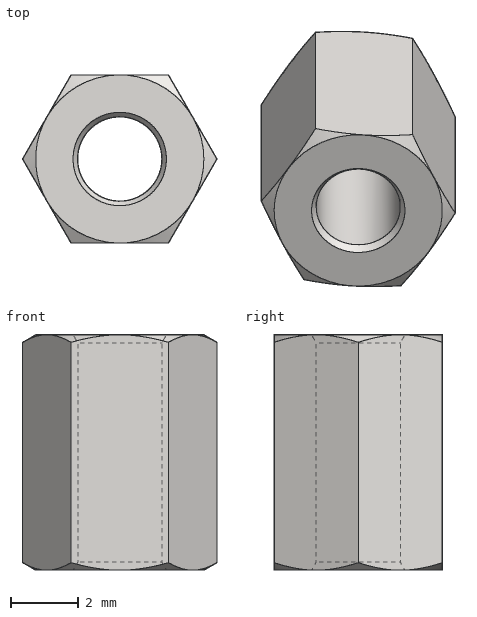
import cadquery as cq
import math

across_flats = 5.008
length = 7.0
end_face_diameter = 5.0
end_chamfer_angle = 30.0
bore_diameter = 2.5
countersink_depth = 0.24
countersink_angle = 60.0

across_corners = across_flats * 2 / math.sqrt(3)
corner_radius = across_corners / 2
end_face_radius = end_face_diameter / 2
chamfer_height = (corner_radius - end_face_radius) * math.tan(math.radians(end_chamfer_angle))
bore_radius = bore_diameter / 2
countersink_radius = bore_radius + countersink_depth * math.tan(math.radians(countersink_angle / 2))


def hexagonal_bar():
    """Hexagonal prism with two corners on the X axis."""
    return cq.Workplane("XY").polygon(6, across_corners).extrude(length)


def turned_envelope():
    """Solid of revolution that bevels the hexagon corners and carries the countersunk bore."""
    profile = [
        (bore_radius, countersink_depth),
        (countersink_radius, 0),
        (end_face_radius, 0),
        (corner_radius, chamfer_height),
        (corner_radius, length - chamfer_height),
        (end_face_radius, length),
        (countersink_radius, length),
        (bore_radius, length - countersink_depth),
    ]
    half_section = cq.Workplane("XZ").polyline(profile).close()
    return half_section.revolve(360, (0, 0, 0), (0, 1, 0))


result = hexagonal_bar().intersect(turned_envelope())